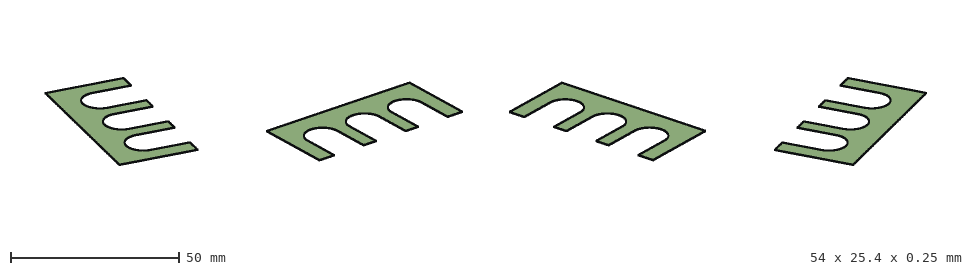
import cadquery as cq

length = 54.0
depth = 25.4
thickness = 0.25

slot_count = 3
slot_pitch = 15.85
slot_width = 11.2
spine_depth = 7.2

slot_radius = slot_width / 2
open_edge_y = depth / 2
arc_center_y = -depth / 2 + spine_depth + slot_radius


def open_slot(center_x):
    """Cutter for one slot: a straight channel ending in a half circle."""
    left_x = center_x - slot_radius
    right_x = center_x + slot_radius
    return (
        cq.Workplane("XY")
        .moveTo(left_x, open_edge_y)
        .lineTo(left_x, arc_center_y)
        .threePointArc((center_x, arc_center_y - slot_radius), (right_x, arc_center_y))
        .lineTo(right_x, open_edge_y)
        .close()
        .extrude(thickness / 2, both=True)
    )


result = cq.Workplane("XY").box(length, depth, thickness)

for index in range(slot_count):
    offset = index - (slot_count - 1) / 2
    result = result.cut(open_slot(offset * slot_pitch))